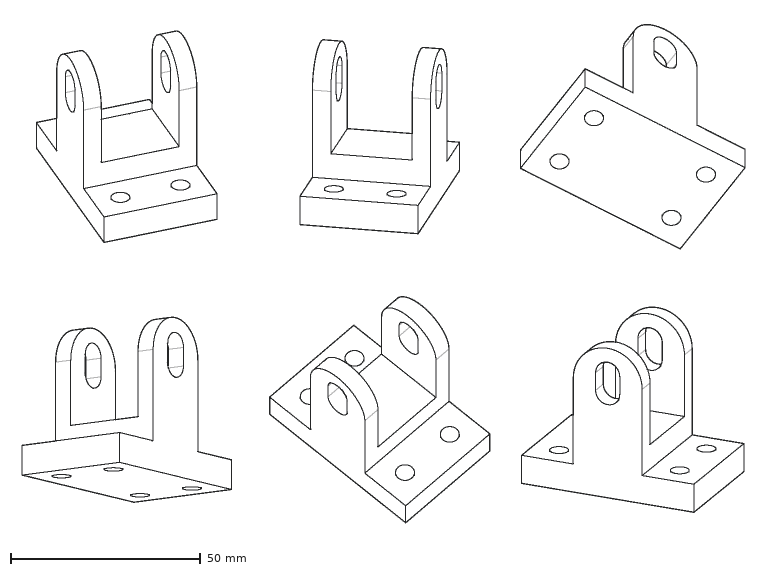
import cadquery as cq

base_length = 50
base_width = 32
base_height = 8
bolt_hole_diameter = 5
bolt_spacing_x = 35
bolt_spacing_y = 17

total_height = 42.5
lug_width = 20
lug_thickness = 5
lug_radius = lug_width / 2
lug_center_height = total_height - lug_radius
gap_width = base_width - 2 * lug_thickness
gap_floor_height = 15

slot_width = 7
slot_length = 12


def make_base():
    """Plate standing on Z = 0 with four through holes."""
    plate = cq.Workplane("XY").box(base_length, base_width, base_height, centered=(True, True, False))
    return (
        plate.faces(">Z").workplane()
        .rect(bolt_spacing_x, bolt_spacing_y, forConstruction=True)
        .vertices()
        .hole(bolt_hole_diameter)
    )


def make_clevis():
    """Round-topped block with the gap between the lugs and the slots cut out."""
    half_width = lug_width / 2
    block = (
        cq.Workplane("XZ")
        .moveTo(-half_width, 0)
        .lineTo(half_width, 0)
        .lineTo(half_width, lug_center_height)
        .threePointArc((0, total_height), (-half_width, lug_center_height))
        .close()
        .extrude(base_width / 2, both=True)
    )
    gap = (
        cq.Workplane("XY", origin=(0, 0, gap_floor_height))
        .box(lug_width, gap_width, total_height - gap_floor_height, centered=(True, True, False))
    )
    slot = (
        cq.Workplane("XZ", origin=(0, 0, lug_center_height))
        .slot2D(slot_length, slot_width, angle=90)
        .extrude(base_width / 2, both=True)
    )
    return block.cut(gap).cut(slot)


result = make_base().union(make_clevis())